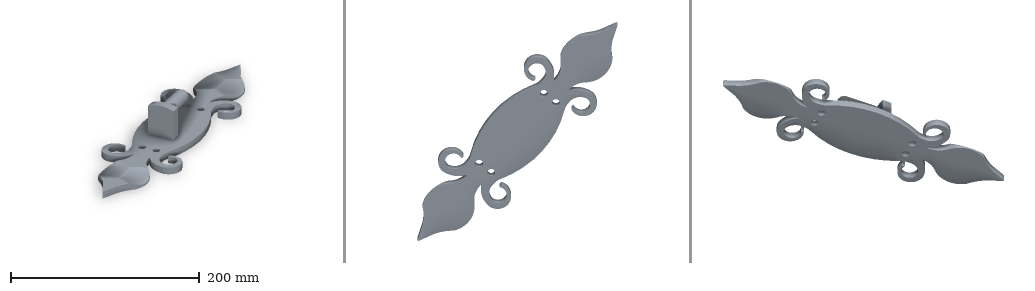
import cadquery as cq
import math

plate_length = 330.0
plate_thickness = 8.0
belly_half_width = 33.5
half_length = plate_length / 2

hook_half_span = 46.05
hook_outer_radius = 14.35
hook_outer_x = hook_half_span - hook_outer_radius
hook_outer_y = 71.0
hook_inner_radius = 9.2
hook_inner_x = 30.7
hook_inner_y = 69.0
hook_end_x = 26.0

leaf_half_width = 27.0
leaf_center_y = 114.5

dish_radius = 52.8
dish_center_depth = 1.5
dish_slope_angle = 9.5
dish_cutter_length = 49.5

hole_diameter = 8.2
hole_spacing_x = 16.8
hole_spacing_y = 107.0

lug_width = 30.5
lug_thickness = 10.0
lug_front_y = -25.5
lug_shoulder_height = 43.0
overall_height = 46.0

pin_diameter = 16.2
pin_radius = pin_diameter / 2
pin_center_z = lug_shoulder_height - pin_radius
pin_end_y = 30.7


def on_circle(center_x, center_y, radius, degrees):
    """Point on a circle, with the angle measured from +X."""
    angle = math.radians(degrees)
    return (center_x + radius * math.cos(angle), center_y + radius * math.sin(angle))


def circle_y(center_x, center_y, radius, x, side):
    """Y of a circle at a given X; side is +1 for its upper half and -1 for its lower half."""
    return center_y + side * math.sqrt(radius**2 - (x - center_x) ** 2)


def quarter_plate():
    """Plate quarter in +X, +Y, from the belly out to the leaf tip."""
    hook_outer = (hook_outer_x, hook_outer_y, hook_outer_radius)
    hook_inner = (hook_inner_x, hook_inner_y, hook_inner_radius)

    belly_end = (21.0, 52.5)
    belly_sagitta = belly_half_width - belly_end[0]
    belly_radius = (belly_end[1] ** 2 + belly_sagitta**2) / (2 * belly_sagitta)
    belly_end_angle = math.degrees(math.asin(belly_end[1] / belly_radius))
    belly_middle = on_circle(belly_half_width - belly_radius, 0, belly_radius, belly_end_angle / 2)

    waist_bend = (19.5, 56.8)
    waist = (19.0, 61.5)
    hook_inner_bend = (22.0, 73.3)
    hook_end_inner = (hook_end_x, circle_y(*hook_inner, hook_end_x, -1))
    hook_end_outer = (hook_end_x, circle_y(*hook_outer, hook_end_x, -1))
    hook_outer_bend = (17.8, 80.5)
    notch = (9.2, 71.3)
    throat = (9.2, 74.5)
    throat_bend = (12.0, 84.8)
    leaf_base = (18.0, 92.7)
    leaf_side = (leaf_half_width, leaf_center_y)
    leaf_top = (21.8, 131.0)
    shoulder_bend = (14.0, 139.0)
    shoulder = (8.0, 148.0)
    tip_side = (1.3, 163.0)
    tip_rounding = (0.5, 164.5)

    return (
        cq.Workplane("XY")
        .moveTo(0, 0)
        .lineTo(belly_half_width, 0)
        .threePointArc(belly_middle, belly_end)
        .threePointArc(waist_bend, waist)
        .threePointArc(hook_inner_bend, on_circle(*hook_inner, 90))
        .threePointArc(on_circle(*hook_inner, 0), hook_end_inner)
        .lineTo(*hook_end_outer)
        .threePointArc(on_circle(*hook_outer, 0), on_circle(*hook_outer, 90))
        .threePointArc(hook_outer_bend, notch)
        .lineTo(*throat)
        .threePointArc(throat_bend, leaf_base)
        .threePointArc(leaf_side, leaf_top)
        .threePointArc(shoulder_bend, shoulder)
        .lineTo(*tip_side)
        .threePointArc(tip_rounding, (0, half_length))
        .close()
        .extrude(plate_thickness)
    )


def dish_cutter():
    """Tilted cylinder that hollows the +X half of the +Y leaf."""
    vertical_radius = dish_radius / math.cos(math.radians(dish_slope_angle))
    axis_height = plate_thickness - dish_center_depth + vertical_radius
    cylinder = (
        cq.Workplane("YZ")
        .circle(dish_radius)
        .extrude(dish_cutter_length, both=True)
        .rotate((0, 0, 0), (0, 1, 0), dish_slope_angle)
        .translate((0, leaf_center_y, axis_height))
    )
    half_space = cq.Workplane("XY").box(
        dish_cutter_length, plate_length, plate_length, centered=(False, True, True)
    )
    return cylinder.intersect(half_space)


def plate():
    quarter = quarter_plate().cut(dish_cutter())
    half = quarter.union(quarter.mirror("YZ"))
    whole = half.union(half.mirror("XZ"))
    holes = (
        cq.Workplane("XY")
        .rarray(hole_spacing_x, hole_spacing_y, 2, 2)
        .circle(hole_diameter / 2)
        .extrude(plate_thickness)
    )
    return whole.cut(holes)


def lug():
    half_width = lug_width / 2
    return (
        cq.Workplane("XZ", origin=(0, lug_front_y, 0))
        .moveTo(-half_width, 0)
        .lineTo(half_width, 0)
        .lineTo(half_width, lug_shoulder_height)
        .threePointArc((0, overall_height), (-half_width, lug_shoulder_height))
        .close()
        .extrude(-lug_thickness)
    )


def pin():
    lug_back_y = lug_front_y + lug_thickness
    dome_center_y = pin_end_y - pin_radius
    shaft = (
        cq.Workplane("XZ", origin=(0, lug_back_y, pin_center_z))
        .circle(pin_radius)
        .extrude(lug_back_y - dome_center_y)
    )
    dome = cq.Workplane("XY").sphere(pin_radius).translate((0, dome_center_y, pin_center_z))
    return shaft.union(dome)


result = plate().union(lug()).union(pin())